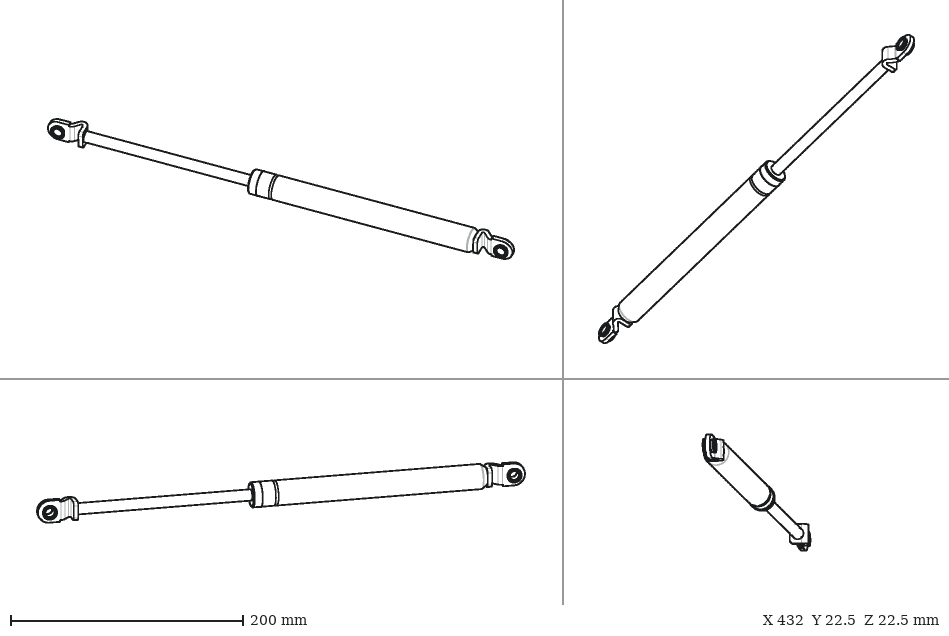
import cadquery as cq
import math

overall_length = 432.0
tube_diameter = 22.0
rod_diameter = 10.0
fitting_length = 34.5
tube_front_x = -26.8

eye_radius = 10.0
eye_plate_length = 19.5
sheet_thickness = 4.0
strap_width = 17.0
pad_low_y = -7.3
pad_corner_radius = 3.0
bend_inner_radius = 1.2
strap_rise_angle = math.radians(45.0)

bush_hole_diameter = 8.0
bush_hole_chamfer = 0.8
bush_barrel_diameter = 11.0
bush_flange_diameter = 12.5
bush_flange_thickness = 1.0
bush_length = 10.0

tube_front_chamfer = 1.0
lip_x = -18.75
lip_length = 0.9
lip_diameter = 22.5
groove_x = -5.9
groove_width = 2.4
groove_depth = 0.8
tail_length = 4.5
tail_end_radius = 8.0
tail_edge_radius = 1.5

half_length = overall_length / 2
tube_radius = tube_diameter / 2
eye_center_x = half_length - eye_radius
eye_plate_x = half_length - eye_plate_length
pad_face_x = half_length - fitting_length


def make_sheet_strip():
    """Bent sheet of the right-hand fitting: a profile in XY, extruded along Z."""
    half_sheet = sheet_thickness / 2
    bend_outer_radius = bend_inner_radius + sheet_thickness
    bend_middle_radius = bend_inner_radius + half_sheet
    bend_y = bend_middle_radius
    top_bend_x = pad_face_x + bend_outer_radius
    foot_bend_x = top_bend_x + 2 * bend_middle_radius / math.sin(strap_rise_angle)

    def on_bend(bend_x, radius, angle):
        return (bend_x + radius * math.cos(angle), bend_y + radius * math.sin(angle))

    slope_on_top_bend = math.pi / 2 - strap_rise_angle
    top_bend_middle = (math.pi + slope_on_top_bend) / 2
    slope_on_foot_bend = slope_on_top_bend + math.pi
    foot_bend_end = 1.5 * math.pi
    foot_bend_middle = (slope_on_foot_bend + foot_bend_end) / 2

    return (
        cq.Workplane("XY")
        .moveTo(pad_face_x, pad_low_y)
        .lineTo(pad_face_x, bend_y)
        .threePointArc(
            on_bend(top_bend_x, bend_outer_radius, top_bend_middle),
            on_bend(top_bend_x, bend_outer_radius, slope_on_top_bend),
        )
        .lineTo(*on_bend(foot_bend_x, bend_inner_radius, slope_on_foot_bend))
        .threePointArc(
            on_bend(foot_bend_x, bend_inner_radius, foot_bend_middle),
            on_bend(foot_bend_x, bend_inner_radius, foot_bend_end),
        )
        .lineTo(half_length, half_sheet)
        .lineTo(half_length, -half_sheet)
        .lineTo(foot_bend_x, -half_sheet)
        .threePointArc(
            on_bend(foot_bend_x, bend_outer_radius, foot_bend_middle),
            on_bend(foot_bend_x, bend_outer_radius, slope_on_foot_bend),
        )
        .lineTo(*on_bend(top_bend_x, bend_inner_radius, slope_on_top_bend))
        .threePointArc(
            on_bend(top_bend_x, bend_inner_radius, top_bend_middle),
            on_bend(top_bend_x, bend_inner_radius, math.pi),
        )
        .lineTo(pad_face_x + sheet_thickness, pad_low_y)
        .close()
        .extrude(eye_radius, both=True)
    )


def eye_cylinder(radius, length):
    """Cylinder along Y, centred on the right-hand eye."""
    return cq.Workplane("XZ", origin=(eye_center_x, 0, 0)).circle(radius).extrude(length / 2, both=True)


def block(start_x, end_x, width):
    """Block along X, as wide as given in Z and as deep as the tube in Y."""
    length = end_x - start_x
    return cq.Workplane("XY", origin=(start_x + length / 2, 0, 0)).box(length, tube_diameter, width)


def make_fitting():
    """Right-hand end fitting: pad, bent strap and round eye with its bush."""
    strap = block(pad_face_x, eye_plate_x, strap_width)
    eye_plate = block(eye_plate_x, eye_center_x, 2 * eye_radius)
    outline = strap.union(eye_plate).union(eye_cylinder(eye_radius, tube_diameter))
    sheet = make_sheet_strip().intersect(outline)
    sheet = sheet.edges("|X and <Y").fillet(pad_corner_radius)
    return sheet.union(make_bush_blank()).cut(make_bush_hole())


def make_bush_blank():
    """Barrel through the eye with a flange at each end, before the hole is cut."""
    bush = eye_cylinder(bush_barrel_diameter / 2, bush_length)
    flange = eye_cylinder(bush_flange_diameter / 2, bush_flange_thickness)
    flange_y = (bush_length - bush_flange_thickness) / 2
    for side in (-1, 1):
        bush = bush.union(flange.translate((0, side * flange_y, 0)))
    return bush


def make_bush_hole():
    """Cutter for the bush hole, countersunk at both ends."""
    half_bush = bush_length / 2
    hole_radius = bush_hole_diameter / 2
    mouth_radius = hole_radius + bush_hole_chamfer
    return (
        cq.Workplane("XY", origin=(eye_center_x, 0, 0))
        .moveTo(0, -half_bush)
        .lineTo(mouth_radius, -half_bush)
        .lineTo(hole_radius, bush_hole_chamfer - half_bush)
        .lineTo(hole_radius, half_bush - bush_hole_chamfer)
        .lineTo(mouth_radius, half_bush)
        .lineTo(0, half_bush)
        .close()
        .revolve(360, (0, 0, 0), (0, 1, 0))
    )


def make_rod():
    """Piston rod with the left-hand fitting."""
    rod = (
        cq.Workplane("XZ")
        .moveTo(-pad_face_x, 0)
        .lineTo(-pad_face_x, rod_diameter / 2)
        .lineTo(tube_front_x, rod_diameter / 2)
        .lineTo(tube_front_x, 0)
        .close()
        .revolve(360, (0, 0, 0), (1, 0, 0))
    )
    return rod.union(make_fitting().mirror("YZ"))


def make_lip():
    """Low ring that ramps up toward +X and drops straight back to the tube surface."""
    return (
        cq.Workplane("XZ")
        .moveTo(lip_x - lip_length, 0)
        .lineTo(lip_x - lip_length, tube_radius)
        .lineTo(lip_x, lip_diameter / 2)
        .lineTo(lip_x, 0)
        .close()
        .revolve(360, (0, 0, 0), (1, 0, 0))
    )


def make_groove():
    """Round-bottomed ring cutter around the tube."""
    half_width = groove_width / 2
    return (
        cq.Workplane("XZ")
        .moveTo(groove_x - half_width, tube_radius)
        .threePointArc((groove_x, tube_radius - groove_depth), (groove_x + half_width, tube_radius))
        .close()
        .revolve(360, (0, 0, 0), (1, 0, 0))
    )


def make_tube():
    """Pressure tube, closed by a tapered tail, with the right-hand fitting."""
    shoulder_x = pad_face_x - tail_length
    tube = (
        cq.Workplane("XZ")
        .moveTo(tube_front_x, 0)
        .lineTo(tube_front_x, tube_radius)
        .lineTo(shoulder_x, tube_radius)
        .lineTo(pad_face_x, tail_end_radius)
        .lineTo(pad_face_x, 0)
        .close()
        .revolve(360, (0, 0, 0), (1, 0, 0))
    )
    tube = tube.faces("<X").chamfer(tube_front_chamfer)
    tube = tube.edges(cq.selectors.NearestToPointSelector((shoulder_x, 0, 0))).fillet(tail_edge_radius)
    tube = tube.cut(make_groove())
    tube = tube.union(make_lip())
    return tube.union(make_fitting())


rod = make_rod()
tube = make_tube()
result = cq.Compound.makeCompound([rod.val(), tube.val()])